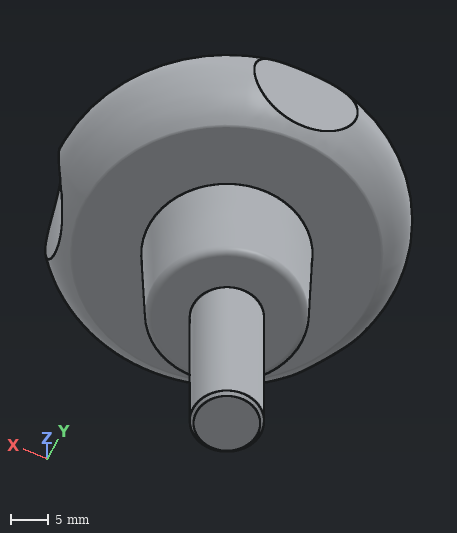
import cadquery as cq
import math

total_height = 57.95
grip_height = 17.95
hub_height = 15.0
stud_length = total_height - grip_height - hub_height
grip_bottom = stud_length + hub_height

grip_radius = 25.0
tube_radius = 9.95
tube_center_radius = grip_radius - tube_radius
tube_center_z = total_height - tube_radius
dish_radius = 10.0
grip_edge_fillet = 0.5

hub_bottom_radius = 11.0
hub_draft_angle = 2.0
hub_fillet = 1.0

stud_diameter = 10.0
stud_chamfer = 0.5

scallop_radius = 25.0
scallop_floor_radius = 22.5
scallop_angles = (90, 210, 340)


def tube_offset(distance):
    """Half chord of the tube section at a given distance from its center."""
    return math.sqrt(tube_radius**2 - distance**2)


def make_grip():
    bottom_radius = tube_center_radius + tube_offset(tube_center_z - grip_bottom)
    dish_z = tube_center_z + tube_offset(tube_center_radius - dish_radius)
    return (
        cq.Workplane("XZ")
        .moveTo(0, grip_bottom)
        .lineTo(bottom_radius, grip_bottom)
        .threePointArc((tube_center_radius, total_height), (dish_radius, dish_z))
        .lineTo(0, dish_z)
        .close()
        .revolve(360, (0, 0), (0, 1))
        .faces("<Z")
        .edges()
        .fillet(grip_edge_fillet)
    )


def make_hub():
    return (
        cq.Workplane("XY", origin=(0, 0, stud_length))
        .circle(hub_bottom_radius)
        .extrude(hub_height, taper=-hub_draft_angle)
        .faces("<Z")
        .edges()
        .fillet(hub_fillet)
    )


def make_stud():
    return (
        cq.Workplane("XY")
        .circle(stud_diameter / 2)
        .extrude(stud_length)
        .faces("<Z")
        .chamfer(stud_chamfer)
    )


def make_scallop(angle):
    """Upright cylinder that hollows the rim at the given angle from +X."""
    distance = scallop_floor_radius + scallop_radius
    return (
        cq.Workplane("XY", origin=(0, 0, grip_bottom))
        .center(distance * math.cos(math.radians(angle)), distance * math.sin(math.radians(angle)))
        .circle(scallop_radius)
        .extrude(grip_height)
    )


grip = make_grip()
for scallop_angle in scallop_angles:
    grip = grip.cut(make_scallop(scallop_angle))

result = grip.union(make_hub()).union(make_stud())